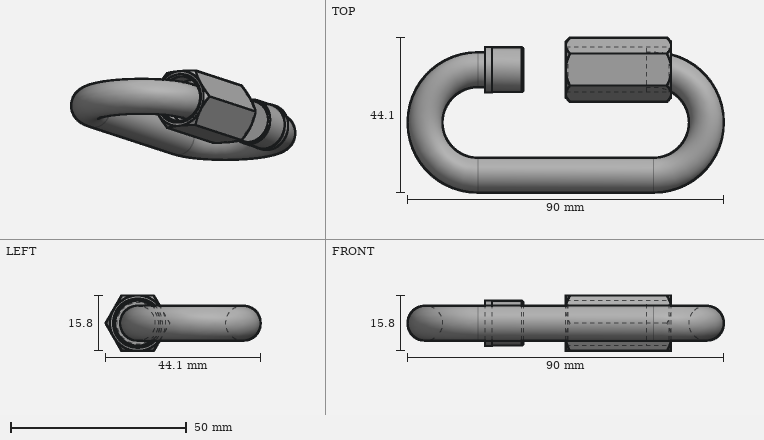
import cadquery as cq
import math


rod_diameter = 10.0
bend_radius = 15.0
straight_length = 50.0
bend_x = straight_length / 2
gate_y = bend_radius

thread_diameter = 12.8
thread_chamfer = 0.5
stub_length = 2.0
short_end_x = -12.0
long_end_x = 0.0

collar_diameter = 13.0
collar_width = 2.0

nut_start_x = long_end_x
nut_length = 30.0
nut_across_flats = 15.8
nut_across_corners = nut_across_flats / math.cos(math.pi / 6)
nut_face_diameter = nut_across_flats
nut_mouth_diameter = 14.0


def cylinder_on_gate_axis(diameter, start_x, end_x):
    plane = cq.Workplane("YZ", origin=(start_x, gate_y, 0))
    return plane.circle(diameter / 2).extrude(end_x - start_x)


def build_rod():
    """Round rod swept from one gate stub, around the oval, to the other."""
    stub_end_x = bend_x - stub_length
    path = (
        cq.Workplane("XY")
        .moveTo(-stub_end_x, gate_y)
        .lineTo(-bend_x, gate_y)
        .threePointArc((-bend_x - bend_radius, 0), (-bend_x, -bend_radius))
        .lineTo(bend_x, -bend_radius)
        .threePointArc((bend_x + bend_radius, 0), (bend_x, gate_y))
        .lineTo(stub_end_x, gate_y)
    )
    start = cq.Workplane("YZ", origin=(-stub_end_x, gate_y, 0))
    return start.circle(rod_diameter / 2).sweep(path)


def build_link():
    """Rod with its collar and both threaded ends, as one solid."""
    shoulder_x = bend_x - stub_length
    collar = cylinder_on_gate_axis(collar_diameter, -shoulder_x, -shoulder_x + collar_width)
    short_end = cylinder_on_gate_axis(thread_diameter, -shoulder_x, short_end_x)
    short_end = short_end.faces(">X").chamfer(thread_chamfer)
    long_end = cylinder_on_gate_axis(thread_diameter, long_end_x, shoulder_x)
    long_end = long_end.faces("<X").chamfer(thread_chamfer)
    return build_rod().union(collar).union(short_end).union(long_end)


def build_nut():
    """Hexagonal sleeve with corners chamfered at 45 degrees and a countersunk through bore."""
    nut_end_x = nut_start_x + nut_length
    face_plane = cq.Workplane("YZ", origin=(nut_start_x, gate_y, 0))
    hexagon = face_plane.polygon(6, nut_across_corners).extrude(nut_length)

    corner_chamfer = (nut_across_corners - nut_face_diameter) / 2
    envelope = cylinder_on_gate_axis(nut_across_corners, nut_start_x, nut_end_x)
    envelope = envelope.faces("<X or >X").chamfer(corner_chamfer)

    bore = cylinder_on_gate_axis(thread_diameter, nut_start_x, nut_end_x)
    nut = hexagon.intersect(envelope).cut(bore)

    countersink = (nut_mouth_diameter - thread_diameter) / 2
    smallest_circles = cq.selectors.RadiusNthSelector(0)
    bore_rims = nut.faces("<X or >X").edges("%CIRCLE").edges(smallest_circles)
    return bore_rims.chamfer(countersink)


link = build_link()
nut = build_nut()

result = cq.Compound.makeCompound([link.solids().val(), nut.solids().val()])